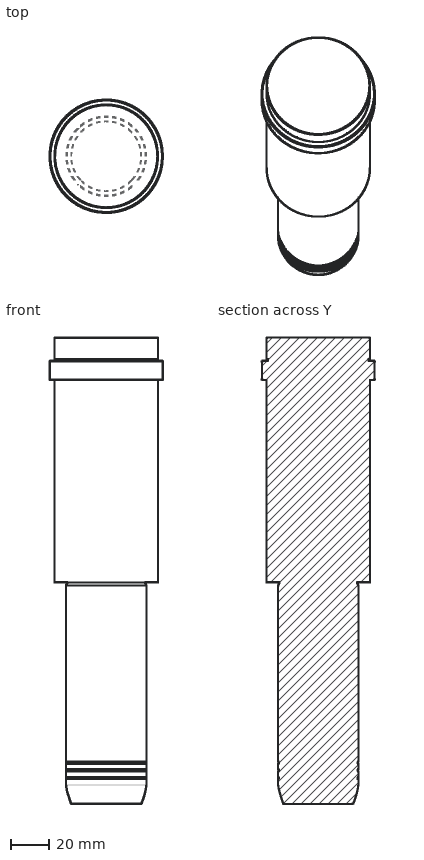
import cadquery as cq

total_height = 243.0
collar_top = 230.8
collar_bottom = 220.6
shoulder_height = 115.5
nose_height = 10.0

body_radius = 27.0
collar_radius = 29.52
pin_radius = 21.02
tip_radius = 18.5

head_edge = 0.36
collar_edge = 0.5
tip_edge = 0.5
collar_relief_width = 0.7
neck_height = 1.7
relief_depth = 0.7
groove_width = 1.2
groove_depth = 0.5
lowest_groove = 13.5
groove_pitch = 4.0
groove_count = 3
nose_bulge = 0.36


def cylinder(radius, bottom, top):
    return cq.Workplane("XY").workplane(offset=bottom).circle(radius).extrude(top - bottom)


def ring(radius, depth, bottom, width):
    """Ring that cuts a groove of the given depth into a cylinder."""
    return cylinder(radius, bottom, bottom + width).cut(
        cylinder(radius - depth, bottom, bottom + width)
    )


def make_nose():
    """Slightly convex taper at the lower end of the pin."""
    middle_radius = (pin_radius + tip_radius) / 2 + nose_bulge
    return (
        cq.Workplane("XZ")
        .lineTo(tip_radius - tip_edge, 0)
        .lineTo(tip_radius, tip_edge)
        .threePointArc((middle_radius, (nose_height + tip_edge) / 2), (pin_radius, nose_height))
        .lineTo(0, nose_height)
        .close()
        .revolve(360, (0, 0, 0), (0, 1, 0))
    )


def make_groove(height):
    """V-shaped ring that cuts a shallow groove around the pin."""
    return (
        cq.Workplane("XZ")
        .moveTo(pin_radius, height - groove_width / 2)
        .lineTo(pin_radius - groove_depth, height)
        .lineTo(pin_radius, height + groove_width / 2)
        .close()
        .revolve(360, (0, 0, 0), (0, 1, 0))
    )


collar = cylinder(collar_radius, collar_bottom, collar_top).faces("<Z or >Z").edges().chamfer(collar_edge)
neck_bottom = shoulder_height - neck_height
pin = cylinder(pin_radius, nose_height, neck_bottom)
neck = (
    cq.Workplane("XZ")
    .moveTo(0, neck_bottom)
    .lineTo(pin_radius, neck_bottom)
    .lineTo(pin_radius - relief_depth, shoulder_height)
    .lineTo(0, shoulder_height)
    .close()
    .revolve(360, (0, 0, 0), (0, 1, 0))
)
body = cylinder(body_radius, shoulder_height, total_height).faces(">Z").edges().chamfer(head_edge)
result = make_nose().union(pin).union(neck).union(body).union(collar)

result = result.cut(ring(body_radius, relief_depth, collar_top, collar_relief_width))

for index in range(groove_count):
    result = result.cut(make_groove(lowest_groove + index * groove_pitch))